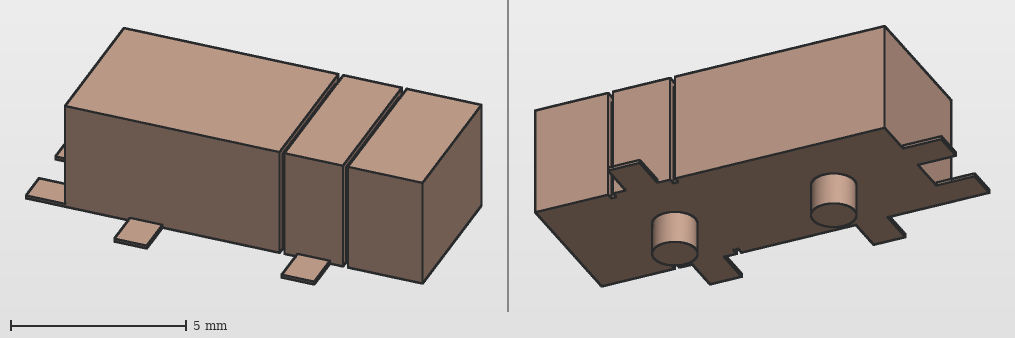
import cadquery as cq

BODY_LENGTH = 11.0
BODY_WIDTH = 4.5
BODY_HEIGHT = 3.4

FRONT_SECTION_LENGTH = 6.6
BAND_LENGTH = 1.8
GROOVE_WIDTH = 0.15
GROOVE_TOP_DEPTH = 0.2
GROOVE_SIDE_DEPTH = 0.22

TAB_REACH = 1.2
TAB_WIDTH = 1.0
TAB_THICKNESS = 0.1
FRONT_TAB_OFFSET = 2.0

PEG_DIAMETER = 1.3
PEG_LENGTH = 1.0
PEG_SPACING = 5.0

BODY_LEFT = -BODY_LENGTH / 2
BODY_FRONT = -BODY_WIDTH / 2
BODY_BACK = BODY_WIDTH / 2
FIRST_GROOVE_X = BODY_LEFT + FRONT_SECTION_LENGTH
SECOND_GROOVE_X = FIRST_GROOVE_X + GROOVE_WIDTH + BAND_LENGTH
BAND_CENTRE_X = FIRST_GROOVE_X + GROOVE_WIDTH + BAND_LENGTH / 2
FRONT_TAB_X = BODY_LEFT + FRONT_TAB_OFFSET
BAND_TAB_X = BAND_CENTRE_X - TAB_WIDTH / 2


def box_from_corner(length, width, height, x, y):
    """Box standing on Z = 0 with its lowest X and Y corner at (x, y)."""
    return cq.Workplane("XY").box(length, width, height, centered=False).translate((x, y, 0))


def make_block():
    """Row of three full-size sections joined by a smaller core at the grooves."""
    block = box_from_corner(BODY_LENGTH, BODY_WIDTH, BODY_HEIGHT, BODY_LEFT, BODY_FRONT)
    core_width = BODY_WIDTH - 2 * GROOVE_SIDE_DEPTH
    core_height = BODY_HEIGHT - GROOVE_TOP_DEPTH
    for groove_x in (FIRST_GROOVE_X, SECOND_GROOVE_X):
        slice_cut = box_from_corner(GROOVE_WIDTH, BODY_WIDTH, BODY_HEIGHT, groove_x, BODY_FRONT)
        core = box_from_corner(GROOVE_WIDTH, core_width, core_height, groove_x, -core_width / 2)
        block = block.cut(slice_cut.cut(core))
    return block


def add_tabs(part):
    """Two tabs on the -X end, two on the -Y side and one on the +Y side."""
    for tab_y in (BODY_FRONT, 0):
        part = part.union(
            box_from_corner(TAB_REACH, TAB_WIDTH, TAB_THICKNESS, BODY_LEFT - TAB_REACH, tab_y)
        )
    side_tab_corners = (
        (FRONT_TAB_X, BODY_FRONT - TAB_REACH),
        (BAND_TAB_X, BODY_FRONT - TAB_REACH),
        (BAND_TAB_X, BODY_BACK),
    )
    for tab_x, tab_y in side_tab_corners:
        part = part.union(box_from_corner(TAB_WIDTH, TAB_REACH, TAB_THICKNESS, tab_x, tab_y))
    return part


def add_pegs(part):
    """Two pegs on the centreline, one of them under the middle of the band."""
    pegs = (
        cq.Workplane("XY")
        .pushPoints([(BAND_CENTRE_X - PEG_SPACING, 0), (BAND_CENTRE_X, 0)])
        .circle(PEG_DIAMETER / 2)
        .extrude(-PEG_LENGTH)
    )
    return part.union(pegs)


result = add_pegs(add_tabs(make_block()))